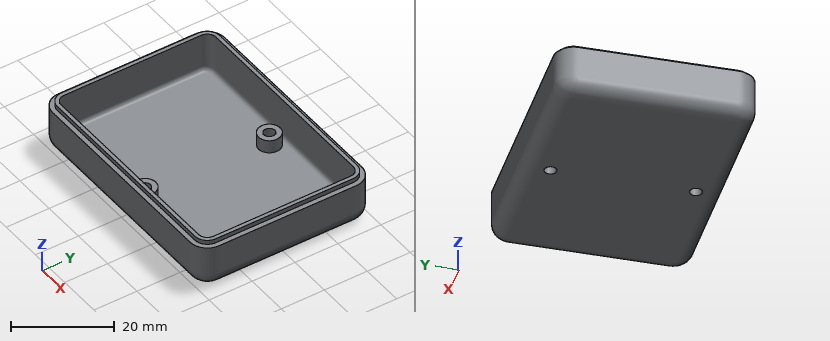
import cadquery as cq

length = 55.0
width = 40.0
height = 11.0
corner_radius = 4.0
bottom_fillet = 3.0

wall = 2.0
floor = 2.0
lip_inset = 1.1
lip_height = 1.0
cavity_fillet = 1.0

boss_diameter = 5.0
boss_hole_diameter = 2.5
boss_height = 3.0
boss_offset = 14.45


def rounded_block(inset, bottom, top):
    """Block with rounded vertical corners, inset evenly from the outer sides."""
    return (
        cq.Workplane("XY")
        .workplane(offset=bottom)
        .rect(length - 2 * inset, width - 2 * inset)
        .extrude(top - bottom)
        .edges("|Z")
        .fillet(corner_radius - inset)
    )


def boss_cylinders(diameter, bottom, top):
    """Pair of upright cylinders at the boss centres."""
    return (
        cq.Workplane("XY")
        .workplane(offset=bottom)
        .pushPoints([(0, -boss_offset), (0, boss_offset)])
        .circle(diameter / 2)
        .extrude(top - bottom)
    )


body = rounded_block(0, 0, height - lip_height).faces("<Z").edges().fillet(bottom_fillet)
lip = rounded_block(lip_inset, height / 2, height)
cavity = rounded_block(wall, floor, height).faces("<Z").edges().fillet(cavity_fillet)
tray = body.union(lip).cut(cavity)

bosses = boss_cylinders(boss_diameter, floor / 2, floor + boss_height)
holes = boss_cylinders(boss_hole_diameter, 0, height)

result = tray.union(bosses).cut(holes)